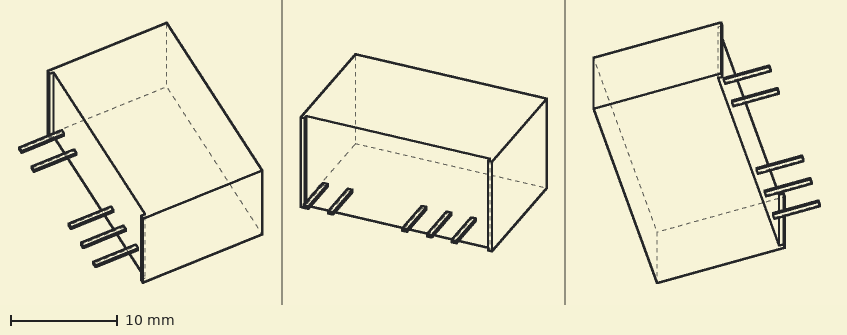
import cadquery as cq

case_width = 19.65
case_height = 9.8
overall_depth = 16.6
case_depth = 12.55
lip_width = 0.4
lip_depth = 0.43

pin_width = 0.5
pin_thickness = 0.25
pin_pitch = 2.53
first_pin_x = 2.35
pin_row_z = 2.8
pin_positions = (0, 1, 4, 5, 6)

pin_face_y = overall_depth - case_depth + lip_depth


def make_case():
    """Block with its pin face recessed between the two end lips."""
    block = cq.Workplane("XY").box(case_width, case_depth, case_height, centered=False)
    recess = (
        cq.Workplane("XY")
        .box(case_width - 2 * lip_width, lip_depth, case_height, centered=False)
        .translate((lip_width, 0, 0))
    )
    return block.cut(recess).translate((0, overall_depth - case_depth, 0))


def make_pin(position):
    """Flat pin running from the recessed face to the front of the part."""
    pin_x = first_pin_x + position * pin_pitch
    return (
        cq.Workplane("XY")
        .box(pin_width, pin_face_y, pin_thickness, centered=(True, False, True))
        .translate((pin_x, 0, pin_row_z))
    )


result = make_case()
for position in pin_positions:
    result = result.union(make_pin(position))